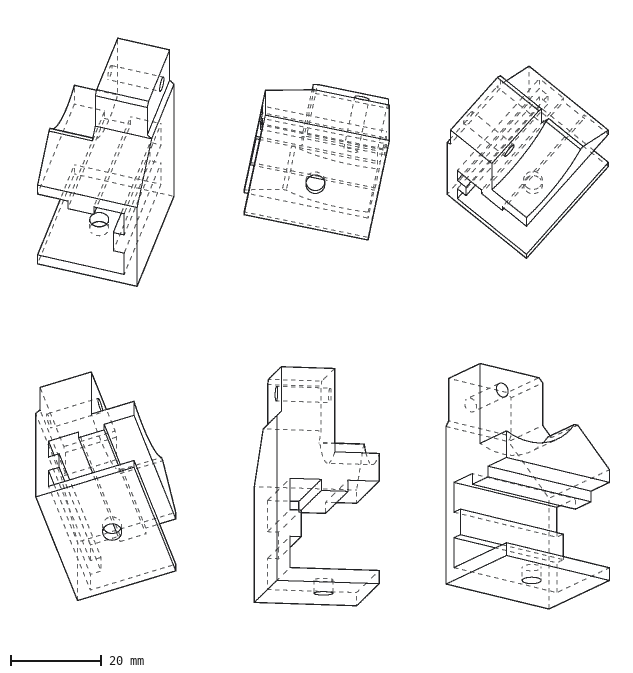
import cadquery as cq

width = 23.0
length = 28.0
height = 48.0

wall = 3.0
profile_size = 20.0
key_width = 6.0
key_depth = 2.5
floor_hole_diameter = 4.2

slope_start = 2 * wall + profile_size
block_front = 11.0
block_left = 10.0
side_step = 1.0
chamfer = 1.0

pivot_y = 22.0
pivot_z = 43.0
pivot_diameter = 3.2
saddle_radius = 15.0
saddle_lip_top = 34.65

channel_left = width - wall
channel_top = wall + profile_size
profile_middle_x = channel_left - profile_size / 2
profile_middle_z = wall + profile_size / 2
slope_end = slope_start + block_front


def box(x_range, y_range, z_range):
    """Box spanning the given (low, high) limits."""
    sizes = [high - low for low, high in (x_range, y_range, z_range)]
    corner = (x_range[0], y_range[0], z_range[0])
    return cq.Workplane("XY").box(*sizes, centered=False).translate(corner)


def make_body():
    """Full-width side outline: straight front, 45 degree slope, upright block with a bevel."""
    outline = [
        (0, 0),
        (length, 0),
        (length, height),
        (block_front + chamfer, height),
        (block_front, height - chamfer),
        (block_front, slope_end),
        (0, slope_start),
    ]
    return cq.Workplane("YZ").polyline(outline).close().extrude(width)


def make_channel():
    """Square channel, open to the left, less the two keys that stay on its walls."""
    channel = box((0, channel_left), (0, length), (wall, channel_top))
    half_key = key_width / 2
    roof_key = box(
        (profile_middle_x - half_key, profile_middle_x + half_key),
        (0, length),
        (channel_top - key_depth, channel_top),
    )
    side_key = box(
        (channel_left - key_depth, channel_left),
        (0, length),
        (profile_middle_z - half_key, profile_middle_z + half_key),
    )
    return channel.cut(roof_key).cut(side_key)


def make_side_relief():
    """Setback along the block's right face, ending in a 45 degree ramp at the bottom."""
    outline = [
        (width, slope_end),
        (width, height),
        (width - side_step, height),
        (width - side_step, slope_end + side_step),
    ]
    return cq.Workplane("XZ").polyline(outline).close().extrude(-length)


def make_saddle():
    """Cylindrical saddle left of the block, with everything above its front lip removed."""
    cylinder = (
        cq.Workplane("YZ").center(pivot_y, pivot_z).circle(saddle_radius).extrude(block_left)
    )
    above_lip = box((0, block_left), (0, length), (saddle_lip_top, height))
    return cylinder.union(above_lip)


def make_pivot_hole():
    """Hole through the upright block, on the saddle axis."""
    return cq.Workplane("YZ").center(pivot_y, pivot_z).circle(pivot_diameter / 2).extrude(width)


def make_floor_hole():
    """Hole through the channel floor, centred under the profile."""
    return (
        cq.Workplane("XY")
        .center(profile_middle_x, length / 2)
        .circle(floor_hole_diameter / 2)
        .extrude(wall)
    )


result = (
    make_body()
    .cut(make_channel())
    .cut(make_side_relief())
    .cut(make_saddle())
    .cut(make_pivot_hole())
    .cut(make_floor_hole())
)